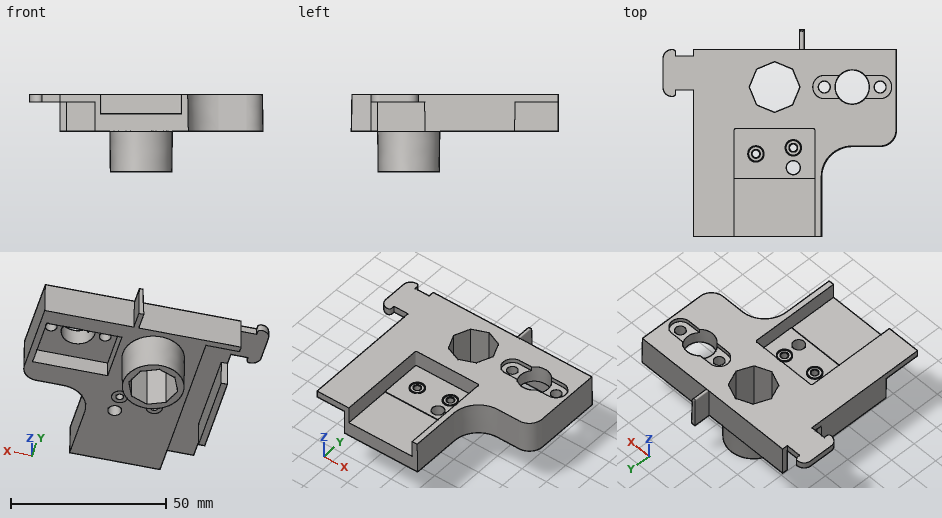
import cadquery as cq
import math


length = 65.35
depth = 60.2
height = 11.95
fin_reach = 6.4
draft_angle = 1.0
draft_slope = math.tan(math.radians(draft_angle))

neck_right = 41.3
arm_front = 28.95
inner_corner_radius = 9.8
outer_corner_radius = 5.35

plate_thickness = 2.55
wall = 2.1
plate_underside = height - plate_thickness
back_wall_inside = depth - wall

left_space_width = 11.2
left_wall_start = 13.9
left_wall_end = 43.0

tab_reach = 9.85
tab_head_width = 4.1
tab_head_front = 45.05
tab_neck_front = 47.15
tab_neck_back = back_wall_inside
tab_outer_radius = 3.0
tab_inner_radius = 1.05

pocket_left = 13.1
pocket_right = 39.0
pocket_back = 34.75
pocket_depth = 6.2
pocket_corner_radius = 0.5
floor_height = height - pocket_depth
floor_step = 0.2
floor_step_y = 18.7

spout_x = 26.1
passage_y = 48.1
spout_length = 13.0
spout_top_radius = 10.1
spout_bottom_radius = 9.9
octagon_sides = 8
octagon_radius = 8.1

round_hole_x = 51.05
round_hole_radius = 5.6
slot_length = 25.4
slot_width = 7.5
slot_depth = 1.6
screw_spacing = 18.0
screw_hole_diameter = 3.75

hollow_left = spout_x + spout_top_radius + wall
hollow_right = length - wall
hollow_front = pocket_back + wall
hollow_back = 54.8

fin_left = 34.1
fin_thickness = 1.65
fin_root = 1.5
fin_edge_radius = 0.45

insert_places = [(20.1, 26.6), (32.1, 28.6)]
insert_radius = 2.6
insert_bore_radius = 1.2
insert_rim_step = 0.3
insert_bore_chamfer = 0.2
plain_hole_place = (32.1, 22.2)
plain_hole_diameter = 4.4


def block(x_range, y_range, z_range):
    """Box between two limits on each axis."""
    (x0, x1), (y0, y1), (z0, z1) = x_range, y_range, z_range
    return cq.Workplane("XY").box(x1 - x0, y1 - y0, z1 - z0, centered=False).translate((x0, y0, z0))


def make_main_block():
    """L-shaped block whose right side leans inwards; its left, front and back faces are upright."""
    spare = 0.75
    leaning = (
        cq.Workplane("XY")
        .moveTo(-spare, -spare)
        .lineTo(neck_right, -spare)
        .lineTo(neck_right, arm_front - inner_corner_radius)
        .radiusArc((neck_right + inner_corner_radius, arm_front), inner_corner_radius)
        .lineTo(length - outer_corner_radius, arm_front)
        .radiusArc((length, arm_front + outer_corner_radius), -outer_corner_radius)
        .lineTo(length, depth + spare)
        .lineTo(-spare, depth + spare)
        .close()
        .extrude(height, taper=draft_angle)
    )
    return leaning.intersect(block((0, length), (0, depth), (0, height)))


def make_tab():
    """T-shaped tab level with the plate."""
    head = block(
        (-tab_reach, tab_head_width - tab_reach), (tab_head_front, depth), (plate_underside, height)
    )
    head = head.edges("|Z and <X").fillet(tab_outer_radius)
    head = head.edges("|Z and >X").fillet(tab_inner_radius)
    neck = block(
        (tab_head_width - tab_reach - tab_inner_radius, 0),
        (tab_neck_front, tab_neck_back),
        (plate_underside, height),
    )
    return head.union(neck)


def make_left_wall():
    """Wall under the left plate edge, narrowing downwards at both ends."""
    lean = plate_underside * draft_slope
    return (
        cq.Workplane("YZ")
        .polyline([
            (left_wall_start, plate_underside),
            (left_wall_end, plate_underside),
            (left_wall_end - lean, 0),
            (left_wall_start + lean, 0),
        ])
        .close()
        .extrude(wall)
    )


def make_fin():
    """Upright fin rooted in the back wall, leaning inwards on all sides, with rounded top edges."""
    fin_length = fin_root + fin_reach
    fin = (
        cq.Workplane("XY")
        .rect(fin_thickness, fin_length)
        .extrude(height, taper=draft_angle)
        .translate((fin_left + fin_thickness / 2, depth + fin_reach - fin_length / 2, 0))
    )
    return fin.faces(">Z").edges("|Y or >Y").fillet(fin_edge_radius)


def make_spout():
    """Round spout that narrows slightly towards its lower end."""
    return (
        cq.Workplane("XY")
        .center(spout_x, passage_y)
        .circle(spout_top_radius)
        .workplane(offset=-spout_length)
        .circle(spout_bottom_radius)
        .loft()
    )


def make_octagonal_passage():
    """Octagonal hole through the plate and the spout."""
    return (
        cq.Workplane("XY", origin=(spout_x, passage_y, -spout_length))
        .polygon(octagon_sides, 2 * octagon_radius)
        .extrude(spout_length + height)
    )


def make_pocket():
    """Pocket cutter with rounded back corners and a lower front floor."""
    back_floor = block((pocket_left, pocket_right), (0, pocket_back), (floor_height, height))
    back_floor = back_floor.edges("|Z and >Y").fillet(pocket_corner_radius)
    front_floor = block(
        (pocket_left, pocket_right), (0, floor_step_y), (floor_height - floor_step, height)
    )
    return back_floor.union(front_floor)


def make_round_hole_group():
    """Cutter for the shallow slot, the drafted round hole and the two screw holes."""
    top = cq.Workplane("XY", origin=(round_hole_x, passage_y, height))
    slot = top.slot2D(slot_length, slot_width).extrude(-slot_depth)
    round_hole = top.circle(round_hole_radius).extrude(-height, taper=draft_angle)
    screw_holes = (
        top.pushPoints([(-screw_spacing / 2, 0), (screw_spacing / 2, 0)])
        .circle(screw_hole_diameter / 2)
        .extrude(-height)
    )
    return slot.union(round_hole).union(screw_holes)


def make_hollow():
    """Hollow below the round hole, inside the walls of the right arm."""
    return block((hollow_left, hollow_right), (hollow_front, hollow_back), (0, floor_height))


def make_insert(place):
    """Bushing through the pocket floor with a stepped upper rim and a chamfered bore."""
    x, y = place
    profile = [
        (insert_bore_radius, 0),
        (insert_radius, 0),
        (insert_radius, floor_height - insert_rim_step),
        (insert_radius - insert_rim_step, floor_height - insert_rim_step),
        (insert_radius - insert_rim_step, floor_height),
        (insert_bore_radius + insert_bore_chamfer, floor_height),
        (insert_bore_radius, floor_height - insert_bore_chamfer),
    ]
    bushing = cq.Workplane("XZ").polyline(profile).close().revolve(360, (0, 0), (0, 1))
    return bushing.translate((x, y, 0))


def make_housing():
    """Housing with all its hollows, holes and attached shapes."""
    left_space = block((0, left_space_width), (0, back_wall_inside), (0, plate_underside))
    body = make_main_block().cut(left_space)
    for added in (make_left_wall(), make_tab(), make_fin(), make_spout()):
        body = body.union(added)
    for removed in (make_octagonal_passage(), make_pocket(), make_hollow(), make_round_hole_group()):
        body = body.cut(removed)
    floor = cq.Workplane("XY")
    insert_holes = floor.pushPoints(insert_places).circle(insert_radius).extrude(floor_height)
    plain_hole = floor.center(*plain_hole_place).circle(plain_hole_diameter / 2).extrude(floor_height)
    return body.cut(insert_holes).cut(plain_hole).solids()


housing = make_housing()
inserts = [make_insert(place) for place in insert_places]

result = cq.Compound.makeCompound([housing.val(), *[insert.val() for insert in inserts]])